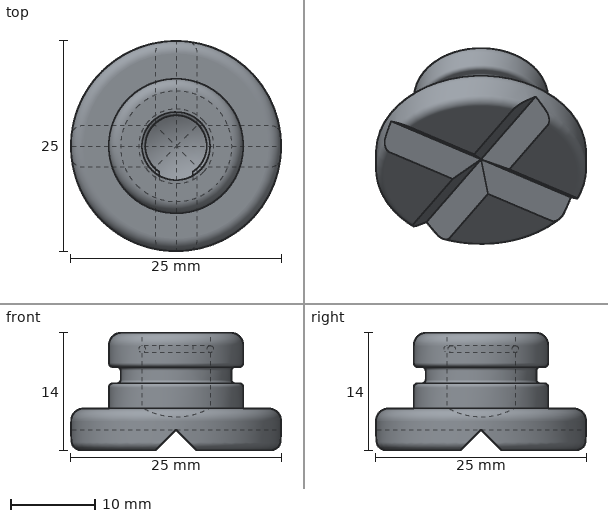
import cadquery as cq
import math

flange_radius = 12.5
flange_height = 5.0
total_height = 14.0
flange_top_round = 1.5
flange_bottom_round = 1.0

boss_radius = 8.0
boss_top_round = 1.5
neck_radius = 6.6
neck_bottom = 8.0
neck_top = 9.9
neck_edge_round = 0.5
neck_root_fillet = 0.4

notch_depth = 2.45
notch_half_width = notch_depth

bore_radius = 4.05
bore_floor = 4.0
floor_sphere_radius = 8.0

wire_radius = 0.4
ring_center_radius = bore_radius
ring_depth = 1.92
ring_gap = 4.0
ring_height = total_height - ring_depth


def make_torus():
    """Full ring of round wire around the bore axis."""
    return (
        cq.Workplane("XZ")
        .center(ring_center_radius, ring_height)
        .circle(wire_radius)
        .revolve(360, (-ring_center_radius, 0), (-ring_center_radius, 1))
    )


def make_flange():
    """Round base with both rims rounded."""
    flange = cq.Workplane("XY").circle(flange_radius).extrude(flange_height)
    flange = flange.faces(">Z").edges().fillet(flange_top_round)
    return flange.faces("<Z").edges().fillet(flange_bottom_round)


def make_boss():
    """Grooved boss, revolved from its half section."""
    lip_radius = boss_radius - neck_edge_round
    root_radius = neck_radius + neck_root_fillet
    edge_mid = neck_edge_round * math.sqrt(0.5)
    root_mid = neck_root_fillet * math.sqrt(0.5)
    lower_round_center = neck_bottom - neck_edge_round
    upper_round_center = neck_top + neck_edge_round
    lower_root_center = neck_bottom + neck_root_fillet
    upper_root_center = neck_top - neck_root_fillet
    section = (
        cq.Workplane("XZ")
        .moveTo(0, flange_height)
        .lineTo(boss_radius, flange_height)
        .lineTo(boss_radius, lower_round_center)
        .threePointArc((lip_radius + edge_mid, lower_round_center + edge_mid), (lip_radius, neck_bottom))
        .lineTo(root_radius, neck_bottom)
        .threePointArc((root_radius - root_mid, lower_root_center - root_mid), (neck_radius, lower_root_center))
        .lineTo(neck_radius, upper_root_center)
        .threePointArc((root_radius - root_mid, upper_root_center + root_mid), (root_radius, neck_top))
        .lineTo(lip_radius, neck_top)
        .threePointArc((lip_radius + edge_mid, upper_round_center - edge_mid), (boss_radius, upper_round_center))
        .lineTo(boss_radius, total_height)
        .lineTo(0, total_height)
        .close()
    )
    boss = section.revolve(360, (0, 0), (0, 1))
    return boss.faces(">Z").edges().fillet(boss_top_round)


def make_bore():
    """Bore volume: a cylinder ending in a spherical cap."""
    sphere_center = bore_floor + floor_sphere_radius
    rim_height = sphere_center - math.sqrt(floor_sphere_radius**2 - bore_radius**2)
    arc_mid_radius = bore_radius / 2
    arc_mid_height = sphere_center - math.sqrt(floor_sphere_radius**2 - arc_mid_radius**2)
    return (
        cq.Workplane("XZ")
        .moveTo(0, bore_floor)
        .threePointArc((arc_mid_radius, arc_mid_height), (bore_radius, rim_height))
        .lineTo(bore_radius, total_height)
        .lineTo(0, total_height)
        .close()
        .revolve(360, (0, 0), (0, 1))
    )


def make_notch(plane):
    """V-shaped cutter running right across the base."""
    return (
        cq.Workplane(plane)
        .polyline([(-notch_half_width, 0), (notch_half_width, 0), (0, notch_depth)])
        .close()
        .extrude(flange_radius, both=True)
    )


def make_body():
    body = make_flange().union(make_boss()).cut(make_bore()).cut(make_torus())
    for plane in ("XZ", "YZ"):
        body = body.cut(make_notch(plane))
    return body


def make_ring():
    """Wire ring with its gap on the -Y side."""
    gap = (
        cq.Workplane("XY", origin=(0, 0, ring_height))
        .box(ring_gap, flange_radius, 2 * ring_depth, centered=(True, False, True))
        .translate((0, -flange_radius, 0))
    )
    return make_torus().cut(gap)


body = make_body()
ring = make_ring()

result = cq.Compound.makeCompound([body.val(), ring.val()])